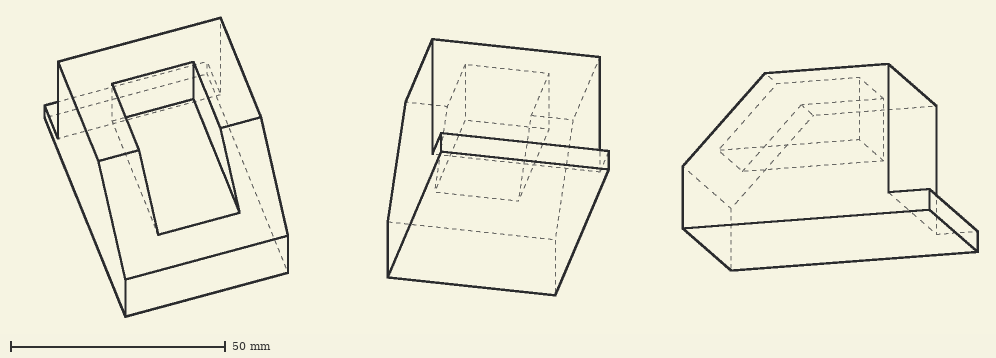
import cadquery as cq

length = 60.0
width = length * 2 / 3
height = 36.0
ledge_length = length / 6
ledge_height = ledge_length / 2
slope_run = length / 3
nose_height = 15.0
pocket_setback = length / 6
pocket_width = width / 2
pocket_depth = 15.0

slope_start = length - slope_run
pocket_start = ledge_length + pocket_setback
pocket_floor = height - pocket_depth


def make_body():
    """Side profile with a low ledge and a sloped nose, extruded about Y = 0."""
    profile = [
        (0, 0),
        (length, 0),
        (length, nose_height),
        (slope_start, height),
        (ledge_length, height),
        (ledge_length, ledge_height),
        (0, ledge_height),
    ]
    return cq.Workplane("XZ").polyline(profile).close().extrude(width / 2, both=True)


def make_pocket():
    """Flat-floored slot, open at the top and running out through the slope."""
    return (
        cq.Workplane("XY")
        .box(length - pocket_start, pocket_width, pocket_depth, centered=(False, True, False))
        .translate((pocket_start, 0, pocket_floor))
    )


result = make_body().cut(make_pocket())